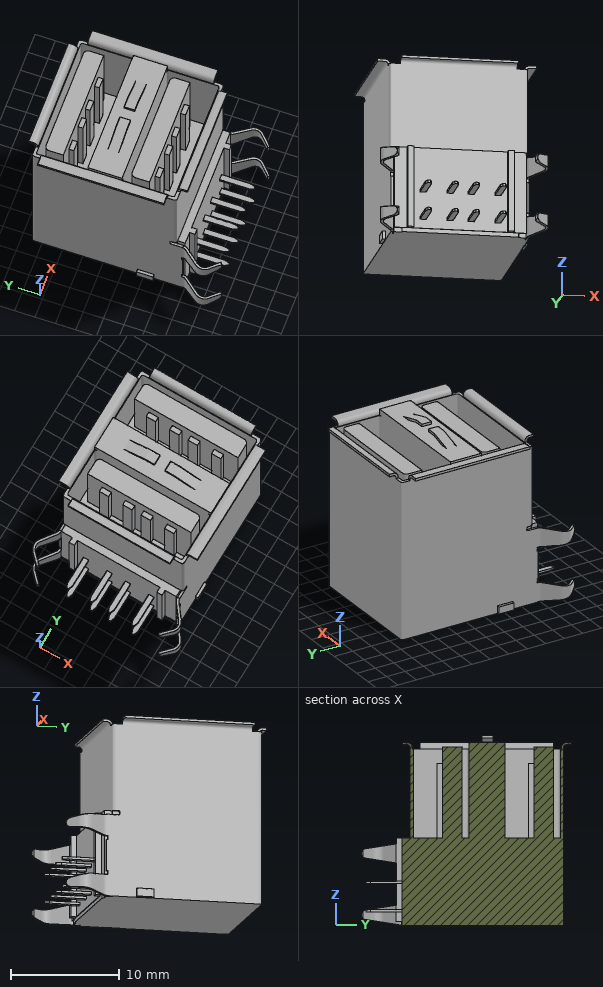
import cadquery as cq
import math


SHEET = 0.25
LINER = 0.05
WALL = SHEET + LINER
SHELL_WIDTH = 13.0
SHELL_DEPTH = 14.2
SHELL_TOP = 16.35
CORNER_ACROSS = 0.17
CORNER_ALONG = 0.4
HALF_WIDTH = SHELL_WIDTH / 2
SHEET_INNER_HALF = HALF_WIDTH - SHEET

LIP_BEND = 0.3
LIP_TOP = 16.98
LIP_BEND_START = LIP_TOP - SHEET - LIP_BEND
END_LIP_LENGTH = 10.96
END_LIP_REACH = 0.7
SIDE_LIP_LENGTH = 12.38
SIDE_LIP_REACH = 0.97
SIDE_LIP_CENTRE_Y = -7.1

PORT_WIDTH = SHELL_WIDTH - 2 * WALL
PORT_CORNER = 0.2
PORT_LENGTH = 5.1
PORT_PITCH = 8.45
BACK_PORT_Y = -WALL
BAR_WIDTH = 12.53
BAR_LENGTH = PORT_PITCH - PORT_LENGTH
BAR_BACK_Y = BACK_PORT_Y - PORT_LENGTH

TONGUE_WIDTH = 11.12
TONGUE_THICKNESS = 1.85
TONGUE_CORNER = 0.45
TONGUE_TOP = 16.53
TONGUE_BACK_Y = -0.91
CONTACT_XS = (-3.51, -0.99, 0.99, 3.51)
CONTACT_WIDTH = 1.0
CONTACT_DEPTH = 0.48
CONTACT_TOP = 15.0

LATCH_WIDTH = 1.05
LATCH_CENTRE_Y = -7.05
LATCH_TOP = 17.6
LATCH_THICKNESS = 0.25
LATCH_END_X = 0.56
LATCH_KNEE_X = 1.57
LATCH_FOOT_X = 3.8

BASE_TOP = 8.13
BASE_FRONT_Y = -14.94
BASE_BOTTOM = 0.4
BASE_HALF = HALF_WIDTH - WALL
FLAP_HALF = 5.47
FLAP_FRONT_Y = -14.98
SIDE_FRONT_Y = -14.8
SLOT_HEIGHT = 0.4
SLOT_BACK_Y = -13.55
SLOT_CORNER = 0.15
RIB_X = 4.71
RIB_WIDTH = 0.56
RIB_FRONT_Y = -15.48

BUMP_OUT = 0.3
BUMP_BACK_Y = -10.35
BUMP_LENGTH = 1.63
BUMP_BOTTOM = 0.05
BUMP_HEIGHT = 0.75

PIN_ZS = (1.4, 4.02)
PIN_WIDTH = 0.56
PIN_THICKNESS = 0.23
PIN_TIP_Y = -18.27
PIN_TIP_WIDTH = 0.23
PIN_TAPER = 0.45

PRONG_ZS = (1.03, 6.7)
PRONG_START_Y = -14.35
PRONG_ROOT_Y = -14.98
PRONG_ROOT_BEND = 0.47
PRONG_TIP_Y = -18.7
PRONG_SPAN = 15.7
PRONG_BEND = 0.97
PRONG_OUT_ANGLE = 52.0
PRONG_BACK_ANGLE = 45.0
PRONG_ROOT_HALF = 1.0
PRONG_TIP_RADIUS = 0.47
NOTCH_DEPTH = 0.12
NOTCH_HEIGHT = 0.35


def block(x0, x1, y0, y1, z0, z1):
    """Box between two opposite corners."""
    return cq.Workplane("XY").box(x1 - x0, y1 - y0, z1 - z0, centered=False).translate((x0, y0, z0))


def both_sides(solid):
    """The solid together with its mirror image across X = 0."""
    return solid.union(solid.mirror("YZ"))


def make_shell():
    """Solid upright block whose vertical corners are quarter ellipses."""
    half_x = HALF_WIDTH - CORNER_ACROSS
    back_y = -CORNER_ALONG
    front_y = CORNER_ALONG - SHELL_DEPTH
    arc_starts = [(HALF_WIDTH, back_y), (-half_x, 0), (-HALF_WIDTH, front_y), (half_x, -SHELL_DEPTH)]
    outline = cq.Workplane("XY").moveTo(HALF_WIDTH, front_y)
    for corner, arc_start in enumerate(arc_starts):
        outline = outline.lineTo(*arc_start)
        outline = outline.ellipseArc(CORNER_ACROSS, CORNER_ALONG, 90 * corner, 90 * (corner + 1), sense=1)
    return outline.close().extrude(SHELL_TOP)


def make_base():
    """Forward step that carries the pins, between the side cheeks of the shell."""
    back_y = -SHELL_DEPTH / 2
    slot_bottom = BASE_TOP - SLOT_HEIGHT
    housing = block(-BASE_HALF, BASE_HALF, BASE_FRONT_Y, back_y, BASE_BOTTOM, BASE_TOP)
    sill = block(-BASE_HALF, BASE_HALF, SIDE_FRONT_Y, back_y, 0, BASE_BOTTOM)
    flap = block(-FLAP_HALF, FLAP_HALF, FLAP_FRONT_Y, back_y, 0, BASE_BOTTOM)
    cheek = block(SHEET_INNER_HALF, HALF_WIDTH, SIDE_FRONT_Y, back_y, 0, slot_bottom)
    for prong_z, toward_middle in zip(PRONG_ZS, (1, -1)):
        notch_z = prong_z + toward_middle * (PRONG_ROOT_HALF + NOTCH_HEIGHT / 2)
        notch = cq.Workplane("XY").box(SHELL_WIDTH, 2 * NOTCH_DEPTH, NOTCH_HEIGHT)
        cheek = cheek.cut(notch.translate((HALF_WIDTH, SIDE_FRONT_Y, notch_z)))
    return housing.union(sill).union(flap).union(both_sides(cheek))


def make_slot():
    """Relief slot between a side wall and the folded front wall."""
    slot = block(
        SHEET_INNER_HALF, HALF_WIDTH,
        BASE_FRONT_Y, SLOT_BACK_Y,
        BASE_TOP - SLOT_HEIGHT, BASE_TOP,
    )
    return slot.edges("|X and >Y").fillet(SLOT_CORNER)


def make_lip(length, reach):
    """Lip with its wall's outer face on the YZ plane, bent toward +X and centred on Y = 0."""
    diagonal = math.sqrt(0.5)
    outer_bend = LIP_BEND + SHEET
    profile = (
        cq.Workplane("XZ")
        .moveTo(-SHEET, SHELL_TOP - SHEET)
        .lineTo(-SHEET, LIP_BEND_START)
        .threePointArc(
            (LIP_BEND - outer_bend * diagonal, LIP_BEND_START + outer_bend * diagonal),
            (LIP_BEND, LIP_TOP),
        )
        .lineTo(reach, LIP_TOP)
        .lineTo(reach, LIP_TOP - SHEET)
        .lineTo(LIP_BEND, LIP_TOP - SHEET)
        .threePointArc(
            (LIP_BEND * (1 - diagonal), LIP_BEND_START + LIP_BEND * diagonal),
            (0, LIP_BEND_START),
        )
        .lineTo(0, SHELL_TOP - SHEET)
        .close()
    )
    return profile.extrude(length / 2, both=True)


def make_lips():
    end_lip = make_lip(END_LIP_LENGTH, END_LIP_REACH)
    origin, up = (0, 0, 0), (0, 0, 1)
    back = end_lip.rotate(origin, up, 90)
    front = end_lip.rotate(origin, up, -90).translate((0, -SHELL_DEPTH, 0))
    side = make_lip(SIDE_LIP_LENGTH, SIDE_LIP_REACH).translate((HALF_WIDTH, SIDE_LIP_CENTRE_Y, 0))
    return back.union(front).union(both_sides(side))


def make_port(back_y):
    half = PORT_WIDTH / 2
    port = block(-half, half, back_y - PORT_LENGTH, back_y, BASE_TOP, LIP_TOP)
    return port.edges("|Z").fillet(PORT_CORNER)


def make_tongue(back_y):
    """Tongue standing on the port floor, with its four contacts on the front face."""
    half = TONGUE_WIDTH / 2
    front_y = back_y - TONGUE_THICKNESS
    tongue = block(-half, half, front_y, back_y, BASE_TOP, TONGUE_TOP)
    tongue = tongue.edges("|Z and >Y").fillet(TONGUE_CORNER)
    for x in CONTACT_XS:
        contact = block(
            x - CONTACT_WIDTH / 2, x + CONTACT_WIDTH / 2,
            front_y - CONTACT_DEPTH, front_y,
            BASE_TOP, CONTACT_TOP,
        )
        tongue = tongue.union(contact)
    return tongue


def make_bar_top():
    half = BAR_WIDTH / 2
    return block(-half, half, BAR_BACK_Y - BAR_LENGTH, BAR_BACK_Y, SHELL_TOP - WALL, LIP_TOP)


def make_latch():
    """Spring strip that rises from the bar and levels off toward the middle."""
    under = LATCH_TOP - LATCH_THICKNESS
    foot = LIP_TOP - LATCH_THICKNESS
    outline = [
        (LATCH_END_X, under),
        (LATCH_END_X, LATCH_TOP),
        (LATCH_KNEE_X, LATCH_TOP),
        (LATCH_FOOT_X, LIP_TOP),
        (LATCH_FOOT_X, foot),
        (LATCH_KNEE_X, under),
    ]
    latch = cq.Workplane("XZ").polyline(outline).close().extrude(LATCH_WIDTH / 2, both=True)
    return latch.translate((0, LATCH_CENTRE_Y, 0))


def make_rib():
    return block(
        RIB_X - RIB_WIDTH / 2, RIB_X + RIB_WIDTH / 2,
        RIB_FRONT_Y, BASE_FRONT_Y,
        BASE_BOTTOM, BASE_TOP,
    )


def make_bump():
    return block(
        HALF_WIDTH, HALF_WIDTH + BUMP_OUT,
        BUMP_BACK_Y - BUMP_LENGTH, BUMP_BACK_Y,
        BUMP_BOTTOM, BUMP_BOTTOM + BUMP_HEIGHT,
    )


def make_pin(x, z):
    half = PIN_WIDTH / 2
    tip_half = PIN_TIP_WIDTH / 2
    outline = [
        (x - half, BASE_FRONT_Y),
        (x - half, PIN_TIP_Y + PIN_TAPER),
        (x - tip_half, PIN_TIP_Y),
        (x + tip_half, PIN_TIP_Y),
        (x + half, PIN_TIP_Y + PIN_TAPER),
        (x + half, BASE_FRONT_Y),
    ]
    pin = cq.Workplane("XY").polyline(outline).close().extrude(PIN_THICKNESS / 2, both=True)
    return pin.translate((0, 0, z))


def make_prong(z):
    """Spring prong of the +X side: splays outward, then hooks back in to a round tip."""
    out_angle = math.radians(PRONG_OUT_ANGLE)
    back_angle = math.radians(PRONG_BACK_ANGLE)
    half_turn = math.radians(180 - PRONG_OUT_ANGLE - PRONG_BACK_ANGLE) / 2
    overhang = PRONG_BEND * (1 / math.cos(half_turn) - 1)
    elbow_x = PRONG_SPAN / 2 + overhang
    elbow_y = PRONG_ROOT_Y - (elbow_x - HALF_WIDTH) * math.tan(out_angle)
    inner_elbow_x = elbow_x - SHEET / math.cos(half_turn)
    root_shift = SHEET * math.tan(out_angle / 2 - math.pi / 4)
    tip_x = elbow_x - (elbow_y - PRONG_TIP_Y) / math.tan(back_angle)
    outline = [
        (SHEET_INNER_HALF, PRONG_START_Y),
        (HALF_WIDTH, PRONG_START_Y),
        (HALF_WIDTH, PRONG_ROOT_Y),
        (elbow_x, elbow_y),
        (tip_x, PRONG_TIP_Y),
        (tip_x - SHEET * math.sin(back_angle), PRONG_TIP_Y + SHEET * math.cos(back_angle)),
        (inner_elbow_x, elbow_y),
        (SHEET_INNER_HALF, PRONG_ROOT_Y + root_shift),
    ]
    strip = cq.Workplane("XY").polyline(outline).close().extrude(PRONG_ROOT_HALF, both=True)
    bends = [
        (HALF_WIDTH, PRONG_ROOT_Y, PRONG_ROOT_BEND),
        (SHEET_INNER_HALF, PRONG_ROOT_Y + root_shift, PRONG_ROOT_BEND + SHEET),
        (elbow_x, elbow_y, PRONG_BEND),
        (inner_elbow_x, elbow_y, PRONG_BEND - SHEET),
    ]
    for x, y, radius in bends:
        strip = strip.edges(cq.NearestToPointSelector((x, y, 0))).fillet(radius)
    round_start_y = PRONG_TIP_Y + PRONG_TIP_RADIUS
    taper = (
        cq.Workplane("YZ")
        .moveTo(SIDE_FRONT_Y, -PRONG_ROOT_HALF)
        .lineTo(PRONG_START_Y, -PRONG_ROOT_HALF)
        .lineTo(PRONG_START_Y, PRONG_ROOT_HALF)
        .lineTo(SIDE_FRONT_Y, PRONG_ROOT_HALF)
        .lineTo(round_start_y, PRONG_TIP_RADIUS)
        .threePointArc((PRONG_TIP_Y, 0), (round_start_y, -PRONG_TIP_RADIUS))
        .close()
        .extrude(PRONG_SPAN)
    )
    return strip.intersect(taper).translate((0, 0, z))


result = make_shell().union(make_base()).cut(both_sides(make_slot()))
result = result.union(make_lips()).union(make_bar_top())
for port_index in range(2):
    shift = -port_index * PORT_PITCH
    result = result.cut(make_port(BACK_PORT_Y + shift))
    result = result.union(make_tongue(TONGUE_BACK_Y + shift))
for feature in (make_latch(), make_rib(), make_bump()):
    result = result.union(both_sides(feature))
for pin_z in PIN_ZS:
    for pin_x in CONTACT_XS:
        result = result.union(make_pin(pin_x, pin_z))
for prong_z in PRONG_ZS:
    result = result.union(both_sides(make_prong(prong_z)))